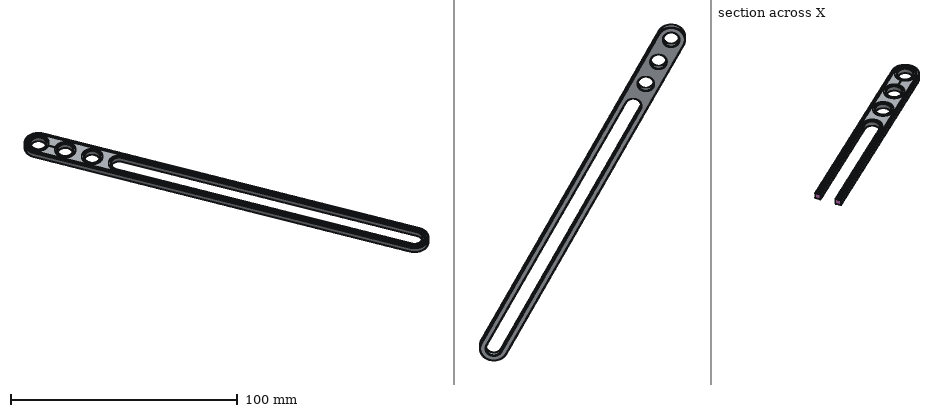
import cadquery as cq

length = 187.5
units_long = 15
width = length / units_long
thickness = width / 4
edge_chamfer = 0.3

pitch = width
hole_diameter = 7.0
hole_count = 3

ring_diameter = 9.2
rim_width = 1.1
floor_depth = 0.2

rib_width = 0.2
rib_height = floor_depth / 2

first_hole_x = (width - length) / 2
slot_start_x = first_hole_x + hole_count * pitch
slot_end_x = -first_hole_x
floor_z = thickness - floor_depth


def bar(size, bottom, height):
    """Round-ended bar of the given width, concentric with the outline."""
    return (
        cq.Workplane("XY", origin=(0, 0, bottom))
        .slot2D(length - width + size, size)
        .extrude(height)
    )


def openings(size, bottom, height):
    """Solid columns for the round holes and the slot, all of one width."""
    plane = cq.Workplane("XY", origin=(0, 0, bottom))
    hole_centers = [(first_hole_x + i * pitch, 0) for i in range(hole_count)]
    holes = plane.pushPoints(hole_centers).circle(size / 2).extrude(height)
    slot = (
        plane.center((slot_start_x + slot_end_x) / 2, 0)
        .slot2D(slot_end_x - slot_start_x + size, size)
        .extrude(height)
    )
    return holes.union(slot)


def floor_recess():
    """Shallow pocket between the outer rim and the rings around the openings."""
    inside_rim = bar(width - 2 * rim_width, floor_z, floor_depth)
    return inside_rim.cut(openings(ring_diameter, floor_z, floor_depth))


def floor_rib():
    """Low rib along the bar, joining the rings of the first two holes."""
    middle_x = first_hole_x + pitch / 2
    rib_length = pitch - (ring_diameter + hole_diameter) / 2
    return (
        cq.Workplane("XY", origin=(middle_x, 0, floor_z))
        .rect(rib_length, rib_width)
        .extrude(rib_height)
        .cut(openings(ring_diameter, floor_z, floor_depth))
    )


body = bar(width, 0, thickness).cut(openings(hole_diameter, 0, thickness))
body = body.faces("|Z").edges().chamfer(edge_chamfer)

result = body.cut(floor_recess().cut(floor_rib()))